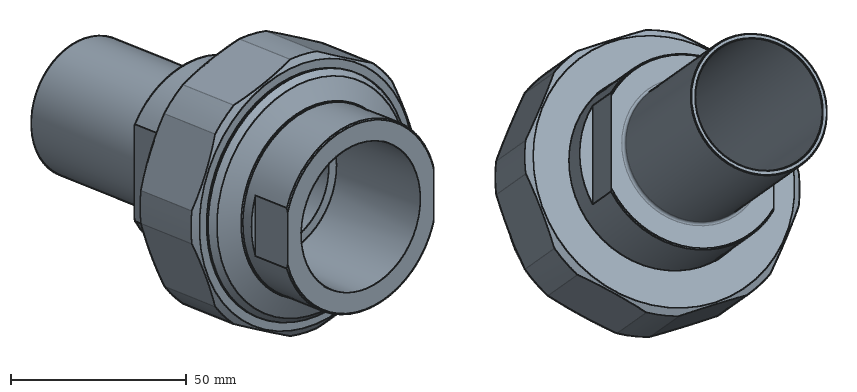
import cadquery as cq
import math


total_length = 119.5
shoulder_x = 49.7
nut_x = 71.2
nut_length = 24.6
nut_end_x = nut_x + nut_length
joint_x = 83.0

pipe_od = 42.0
pipe_bore = 39.0
pipe_edge_chamfer = 0.2
shoulder_fillet = 0.9
tail_od = 58.0
body_edge_chamfer = 0.4

nut_corner_od = 84.67
nut_across_flats = 81.5
nut_sides = 8
nut_face_od = 80.5
nut_chamfer_angle = 30.0
nut_small_bore = 58.5
nut_thread_bore = 72.23
nut_lip_thickness = 6.0

end_od = 58.0
end_bore = 44.84
flange_od = 75.1
flange_rim_end_x = 96.5
cone_break_od = 71.6
cone_break_x = 98.3
cone_end_x = 101.4
cone_root_fillet = 0.5

flat_length = 14.0
tail_across_flats = 50.0
end_across_flats = 55.0


def revolve_about_x(profile):
    """Revolve a closed (x, radius) profile a full turn about the X axis."""
    return profile.close().revolve(360, (0, 0, 0), (1, 0, 0))


def tube_cutter(x_start, x_end, diameter):
    """Solid cylinder along X."""
    return cq.Workplane("YZ", origin=(x_start, 0, 0)).circle(diameter / 2).extrude(x_end - x_start)


def cut_wrench_flats(body, x_start, across_flats):
    """Cut two opposite flats that reach past the outside of the round body."""
    depth = end_od / 2
    for side in (-1, 1):
        cutter = cq.Workplane("XY").box(flat_length, depth, end_od, centered=(False, True, True))
        body = body.cut(cutter.translate((x_start, side * (across_flats + depth) / 2, 0)))
    return body


def make_tail():
    pipe_r = pipe_od / 2
    bore_r = pipe_bore / 2
    body_r = tail_od / 2
    collar_r = nut_thread_bore / 2
    lip_x = nut_x + nut_lip_thickness
    profile = (
        cq.Workplane("XY")
        .moveTo(0, bore_r + pipe_edge_chamfer)
        .lineTo(0, pipe_r - pipe_edge_chamfer)
        .lineTo(pipe_edge_chamfer, pipe_r)
        .lineTo(shoulder_x - shoulder_fillet, pipe_r)
        .radiusArc((shoulder_x, pipe_r + shoulder_fillet), -shoulder_fillet)
        .lineTo(shoulder_x, body_r - body_edge_chamfer)
        .lineTo(shoulder_x + body_edge_chamfer, body_r)
        .lineTo(lip_x, body_r)
        .lineTo(lip_x, collar_r)
        .lineTo(joint_x, collar_r)
        .lineTo(joint_x, bore_r)
        .lineTo(pipe_edge_chamfer, bore_r)
    )
    return cut_wrench_flats(revolve_about_x(profile), shoulder_x, tail_across_flats)


def make_nut():
    corner_r = nut_corner_od / 2
    face_r = nut_face_od / 2
    chamfer = (corner_r - face_r) * math.tan(math.radians(nut_chamfer_angle))
    blank = revolve_about_x(
        cq.Workplane("XY")
        .moveTo(nut_x, 0)
        .lineTo(nut_x, face_r)
        .lineTo(nut_x + chamfer, corner_r)
        .lineTo(nut_end_x - chamfer, corner_r)
        .lineTo(nut_end_x, face_r)
        .lineTo(nut_end_x, 0)
    )
    octagon = (
        cq.Workplane("YZ", origin=(nut_x, 0, 0))
        .polygon(nut_sides, nut_across_flats, circumscribed=True)
        .extrude(nut_length)
        .rotate((0, 0, 0), (1, 0, 0), 180 / nut_sides)
    )
    nut = blank.intersect(octagon)
    nut = nut.cut(tube_cutter(nut_x, nut_end_x, nut_small_bore))
    return nut.cut(tube_cutter(nut_x + nut_lip_thickness, nut_end_x, nut_thread_bore))


def make_end_piece():
    body_r = end_od / 2
    flange_r = flange_od / 2
    break_r = cone_break_od / 2
    profile = (
        cq.Workplane("XY")
        .moveTo(joint_x, end_bore / 2)
        .lineTo(joint_x, nut_thread_bore / 2)
        .lineTo(nut_end_x, nut_thread_bore / 2)
        .lineTo(nut_end_x, flange_r)
        .lineTo(flange_rim_end_x, flange_r)
        .lineTo(cone_break_x, break_r)
        .lineTo(cone_end_x, body_r)
        .lineTo(total_length - body_edge_chamfer, body_r)
        .lineTo(total_length, body_r - body_edge_chamfer)
        .lineTo(total_length, end_bore / 2)
    )
    body = revolve_about_x(profile)
    cone_root = cq.selectors.BoxSelector(
        (cone_end_x - cone_root_fillet, -end_od, -end_od),
        (cone_end_x + cone_root_fillet, end_od, end_od),
    )
    body = body.edges("%CIRCLE").edges(cone_root).fillet(cone_root_fillet)
    return cut_wrench_flats(body, total_length - flat_length, end_across_flats)


tail = make_tail()
nut = make_nut()
end_piece = make_end_piece()

result = cq.Compound.makeCompound([tail.val(), nut.val(), end_piece.val()])